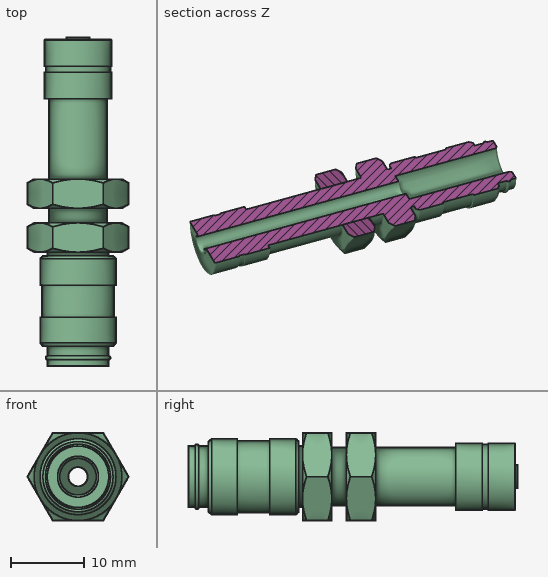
import cadquery as cq
import math


across_flats = 12.0
hex_thickness = 4.0
hex_chamfer_angle = math.radians(30)
hex_gap = 2.0

total_length = 45.0
snap_ring_y = 1.15
collar_front = 2.7
collar_band = 4.0
waist_length = 4.4
neck_length = 0.5
sleeve_front = 36.55
sleeve_end = 44.7
sleeve_groove_start = 40.2
sleeve_groove_width = 0.8

collar_end = collar_front + 2 * collar_band + waist_length
fixed_hex_front = collar_end + neck_length
lock_nut_front = fixed_hex_front + hex_thickness + hex_gap

spigot_radius = 4.2
snap_ring_section = 0.25
collar_radius = 5.2
waist_radius = 4.95
shaft_radius = 4.0
sleeve_radius = 4.6
sleeve_groove_radius = 4.45
tip_radius = 1.6

front_chamfer_length = 0.5
front_chamfer_depth = 0.4
rear_chamfer = 0.4
sleeve_chamfer = 0.1

socket_radius = 2.5
socket_chamfer = 0.3
socket_depth = collar_end
through_radius = 1.3


def cylinder(radius, start, end):
    """Solid cylinder on the Y axis between two stations."""
    return cq.Workplane("XZ", origin=(0, start, 0)).circle(radius).extrude(start - end)


def revolve_profile(points):
    """Solid of revolution about Y from (radius, y) points."""
    return cq.Workplane("XY").polyline(points).close().revolve(360, (0, 0, 0), (0, 1, 0))


def hexagon(start):
    """Hexagon with corners on X and 30 degree chamfers on both faces."""
    corner_radius = across_flats / math.sqrt(3)
    face_radius = across_flats / 2
    chamfer_length = (corner_radius - face_radius) * math.tan(hex_chamfer_angle)
    end = start + hex_thickness
    prism = (
        cq.Workplane("XZ", origin=(0, start, 0))
        .polygon(6, 2 * corner_radius)
        .extrude(-hex_thickness)
    )
    envelope = revolve_profile([
        (0, start),
        (face_radius, start),
        (corner_radius, start + chamfer_length),
        (corner_radius, end - chamfer_length),
        (face_radius, end),
        (0, end),
    ])
    return prism.intersect(envelope)


def turned_blank():
    """Outside of the coupling body, without its hexagon and snap ring."""
    waist_start = collar_front + collar_band
    waist_end = waist_start + waist_length
    groove_end = sleeve_groove_start + sleeve_groove_width
    return revolve_profile([
        (0, 0),
        (spigot_radius, 0),
        (spigot_radius, collar_front),
        (collar_radius - front_chamfer_depth, collar_front),
        (collar_radius, collar_front + front_chamfer_length),
        (collar_radius, waist_start),
        (waist_radius, waist_start),
        (waist_radius, waist_end),
        (collar_radius, waist_end),
        (collar_radius, collar_end - rear_chamfer),
        (collar_radius - rear_chamfer, collar_end),
        (spigot_radius, collar_end),
        (spigot_radius, fixed_hex_front),
        (shaft_radius, fixed_hex_front),
        (shaft_radius, sleeve_front),
        (sleeve_radius, sleeve_front),
        (sleeve_radius, sleeve_groove_start),
        (sleeve_groove_radius, sleeve_groove_start),
        (sleeve_groove_radius, groove_end),
        (sleeve_radius, groove_end),
        (sleeve_radius, sleeve_end - sleeve_chamfer),
        (sleeve_radius - sleeve_chamfer, sleeve_end),
        (tip_radius, sleeve_end),
        (tip_radius, total_length),
        (0, total_length),
    ])


def snap_ring():
    """Round bead around the spigot, half sunk into its surface."""
    return (
        cq.Workplane("XY")
        .center(spigot_radius, snap_ring_y)
        .circle(snap_ring_section)
        .revolve(360, (-spigot_radius, 0, 0), (-spigot_radius, 1, 0))
    )


def bore():
    """Chamfered socket from the mating end, continued by the through hole."""
    return revolve_profile([
        (0, 0),
        (socket_radius + socket_chamfer, 0),
        (socket_radius, socket_chamfer),
        (socket_radius, socket_depth),
        (through_radius, socket_depth),
        (through_radius, total_length),
        (0, total_length),
    ])


coupling_body = turned_blank().union(hexagon(fixed_hex_front)).union(snap_ring()).cut(bore())

lock_nut = hexagon(lock_nut_front).cut(
    cylinder(shaft_radius, lock_nut_front, lock_nut_front + hex_thickness)
)

result = cq.Compound.makeCompound([coupling_body.val(), lock_nut.val()])